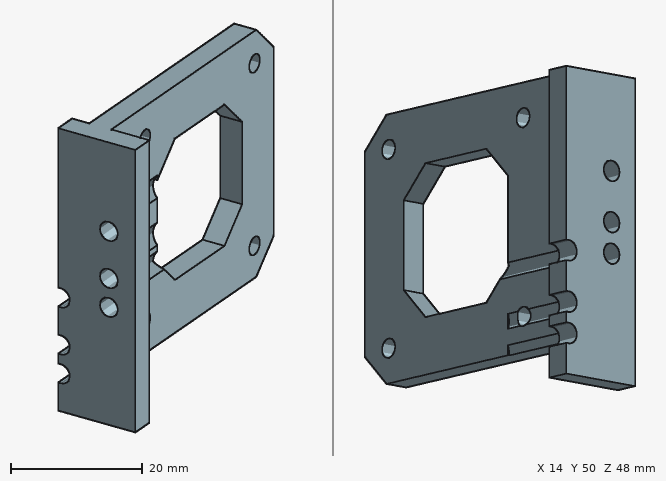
import cadquery as cq

flange_width = 14.0
flange_height = 48.0
thickness = 4.0

length = 50.0
web_left = 3.1
web_height = 42.0
web_bottom = flange_height - web_height
corner_chamfer = 5.0

motor_edge_distance = 21.0
motor_y = length - motor_edge_distance
motor_z = flange_height - motor_edge_distance
opening_size = 24.0
opening_chamfer = 5.0
motor_hole_spacing = 31.0
motor_hole_diameter = 3.0

screw_radius = 1.6
screw_offsets = (0.0, 8.0, 12.9)
open_column_x = 0.5
open_column_top_z = flange_height - 28.7
closed_column_x = 9.2
closed_column_top_z = flange_height - 15.1

head_radius = 2.85
channel_end_y = motor_y - opening_size / 2
channel_length = channel_end_y - thickness


def cylinder_along_y(x, z, start_y, radius, depth):
    """Cylinder running towards +Y from start_y."""
    start = cq.Vector(x, start_y, z)
    return cq.Workplane(cq.Solid.makeCylinder(radius, depth, start, cq.Vector(0, 1, 0)))


def make_flange():
    return cq.Workplane().box(flange_width, thickness, flange_height, centered=False)


def make_web():
    web = (
        cq.Workplane()
        .box(thickness, length, web_height, centered=False)
        .edges("|X and >Y")
        .chamfer(corner_chamfer)
        .translate((web_left, 0, web_bottom))
    )
    motor_plane = cq.Workplane("YZ", origin=(web_left, motor_y, motor_z))
    opening = (
        motor_plane.rect(opening_size, opening_size)
        .extrude(thickness)
        .edges("|X")
        .chamfer(opening_chamfer)
    )
    motor_holes = (
        motor_plane.rect(motor_hole_spacing, motor_hole_spacing, forConstruction=True)
        .vertices()
        .circle(motor_hole_diameter / 2)
        .extrude(thickness)
    )
    return web.cut(opening).cut(motor_holes)


def cut_closed_screw_holes(body):
    for offset in screw_offsets:
        z = closed_column_top_z - offset
        body = body.cut(cylinder_along_y(closed_column_x, z, 0, screw_radius, thickness))
    return body


def cut_open_screw_slots(body):
    """Screw slots open to the left edge: round at the inner end, straight out to the edge."""
    for offset in screw_offsets:
        z = open_column_top_z - offset
        body = body.cut(cylinder_along_y(open_column_x, z, 0, screw_radius, thickness))
        mouth = cq.Workplane().box(open_column_x, thickness, 2 * screw_radius, centered=False)
        body = body.cut(mouth.translate((0, 0, z - screw_radius)))
    return body


def cut_head_channels(body, x, top_z, through_index):
    """Head channels for one screw column; the one at through_index breaks out into the opening."""
    for index, offset in enumerate(screw_offsets):
        run = channel_length
        if index == through_index:
            run += opening_chamfer
        body = body.cut(cylinder_along_y(x, top_z - offset, thickness, head_radius, run))
    return body


result = make_flange().union(make_web())
result = cut_closed_screw_holes(result)
result = cut_open_screw_slots(result)
result = cut_head_channels(result, open_column_x, open_column_top_z, 0)
result = cut_head_channels(result, closed_column_x, closed_column_top_z, 2)